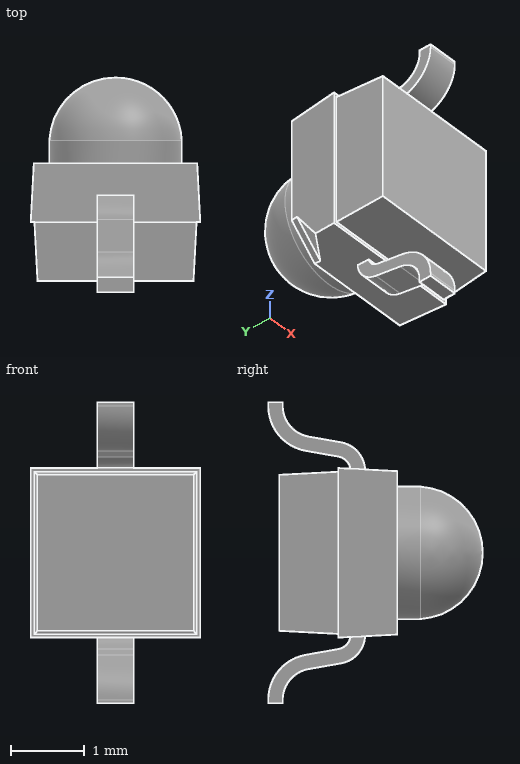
import cadquery as cq
import math

HALF_DEPTH = 0.8
FRONT_WIDTH = 2.3
BACK_WIDTH = 2.2
DRAFT_ANGLE = 3.0

LENS_RADIUS = 0.9
LENS_TIP_Y = 1.96
LENS_CYLINDER_LENGTH = 0.31

MARK_LEG = 0.47
MARK_FLAT_LENGTH = 0.1
MARK_TOTAL_LENGTH = 0.45
CUT_CLEARANCE = 0.1

LEAD_WIDTH = 0.5
LEAD_THICKNESS = 0.2
LEAD_SPAN = 4.08
LEAD_OVERHANG = 0.15
LEAD_TIP_LENGTH = 0.05
LEAD_ROOT_Y = 0.267
LEAD_ROOT_Z = 0.9
ROOT_BEND_RADIUS = 0.3
TIP_BEND_RADIUS = 0.52
LEAD_SLOPE = math.radians(10)


def body_half(width, direction):
    """Tapered square block growing from the parting plane toward direction * Y."""
    plane = cq.Plane(origin=(0, 0, 0), xDir=(1, 0, 0), normal=(0, direction, 0))
    return cq.Workplane(plane).rect(width, width).extrude(HALF_DEPTH, taper=DRAFT_ANGLE)


def half_width_at(y):
    """Distance from the axis to the sides of the lens-side half at position y."""
    return FRONT_WIDTH / 2 - y * math.tan(math.radians(DRAFT_ANGLE))


def corner_triangle(y, leg):
    """Triangle across the (-X, -Z) corner whose long side cuts `leg` off the lens-face corner."""
    corner = -half_width_at(HALF_DEPTH) - CUT_CLEARANCE
    reach = corner + leg + 2 * CUT_CLEARANCE
    plane = cq.Plane(origin=(0, y, 0), xDir=(1, 0, 0), normal=(0, -1, 0))
    return cq.Workplane(plane).polyline([(corner, corner), (reach, corner), (corner, reach)]).close()


def polarity_cut():
    """Wedge removed from the (-X, -Z) corner at the lens end of the body."""
    run_out_y = HALF_DEPTH - MARK_TOTAL_LENGTH
    run_out_leg = -2 * (half_width_at(run_out_y) - half_width_at(HALF_DEPTH))
    flat = corner_triangle(HALF_DEPTH, MARK_LEG).extrude(MARK_FLAT_LENGTH)
    slope_start = corner_triangle(HALF_DEPTH - MARK_FLAT_LENGTH, MARK_LEG).val()
    slope_end = corner_triangle(run_out_y, run_out_leg).val()
    slope = cq.Workplane(cq.Solid.makeLoft([slope_start, slope_end], True))
    return flat.union(slope)


def lens():
    """Revolved lens profile about the Y axis."""
    dome_start_y = HALF_DEPTH + LENS_CYLINDER_LENGTH
    dome_height = LENS_TIP_Y - dome_start_y
    sphere_radius = (LENS_RADIUS**2 + dome_height**2) / (2 * dome_height)
    sphere_centre_y = LENS_TIP_Y - sphere_radius
    diagonal = sphere_radius * math.sqrt(0.5)
    return (
        cq.Workplane("XY")
        .lineTo(LENS_RADIUS, 0)
        .lineTo(LENS_RADIUS, dome_start_y)
        .threePointArc((diagonal, sphere_centre_y + diagonal), (0, LENS_TIP_Y))
        .close()
        .revolve(360, (0, 0, 0), (0, 1, 0))
    )


def upper_lead():
    """S-shaped strip rising from the top of the body and bending to the back."""
    half = LEAD_THICKNESS / 2
    tip_y = -HALF_DEPTH - LEAD_OVERHANG + half
    tip_z = LEAD_SPAN / 2
    bend_end_z = tip_z - LEAD_TIP_LENGTH
    bend_radii = ROOT_BEND_RADIUS + TIP_BEND_RADIUS
    slope_run = LEAD_ROOT_Y - tip_y - bend_radii * (1 - math.sin(LEAD_SLOPE))
    slope_rise = slope_run * math.tan(LEAD_SLOPE)
    bend_start_z = bend_end_z - bend_radii * math.cos(LEAD_SLOPE) - slope_rise
    root_centre_y = LEAD_ROOT_Y - ROOT_BEND_RADIUS
    tip_centre_y = tip_y + TIP_BEND_RADIUS
    end_angle = math.pi / 2 - LEAD_SLOPE

    def root_bend(radius, angle):
        return (root_centre_y + radius * math.cos(angle), bend_start_z + radius * math.sin(angle))

    def tip_bend(radius, angle):
        return (tip_centre_y - radius * math.cos(angle), bend_end_z - radius * math.sin(angle))

    root_outer = ROOT_BEND_RADIUS + half
    root_inner = ROOT_BEND_RADIUS - half
    tip_outer = TIP_BEND_RADIUS + half
    tip_inner = TIP_BEND_RADIUS - half
    return (
        cq.Workplane("YZ")
        .moveTo(LEAD_ROOT_Y + half, LEAD_ROOT_Z)
        .lineTo(*root_bend(root_outer, 0))
        .threePointArc(root_bend(root_outer, end_angle / 2), root_bend(root_outer, end_angle))
        .lineTo(*tip_bend(tip_inner, end_angle))
        .threePointArc(tip_bend(tip_inner, end_angle / 2), tip_bend(tip_inner, 0))
        .lineTo(tip_y + half, tip_z)
        .lineTo(tip_y - half, tip_z)
        .lineTo(*tip_bend(tip_outer, 0))
        .threePointArc(tip_bend(tip_outer, end_angle / 2), tip_bend(tip_outer, end_angle))
        .lineTo(*root_bend(root_inner, end_angle))
        .threePointArc(root_bend(root_inner, end_angle / 2), root_bend(root_inner, 0))
        .lineTo(LEAD_ROOT_Y - half, LEAD_ROOT_Z)
        .close()
        .extrude(LEAD_WIDTH / 2, both=True)
    )


body = body_half(FRONT_WIDTH, 1).cut(polarity_cut()).union(body_half(BACK_WIDTH, -1))
lead = upper_lead()
result = body.union(lens()).union(lead).union(lead.mirror("XY"))